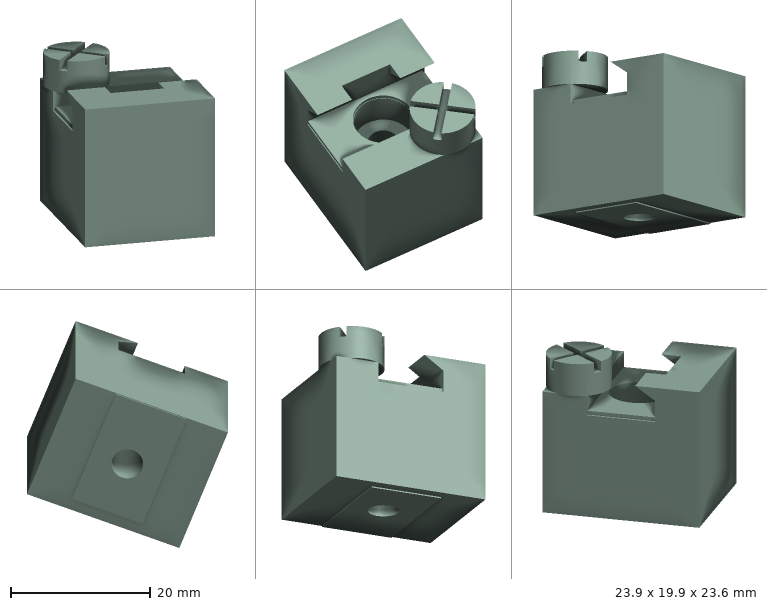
import cadquery as cq

block_length = 23.45
block_width = 19.4
block_height = 20.75
shelf_height = 18.47

channel_left = 6.63
channel_right = 16.81
channel_floor = 15.52
lip_tip = 13.85
lip_root_height = 18.78
notch_width = 8.0

channel_plate_thickness = 0.57
channel_plate_front = 0.34
plate_back = 19.28
base_plate_left = 6.32
base_plate_right = 17.22
base_plate_front = 1.7
base_plate_thickness = 0.2

bore_x = 11.75
bore_y = block_width / 2
bore_diameter = 4.55
counterbore_diameter = 8.62
plate_hole_diameter = 8.77
counterbore_depth = 4.8

head_diameter = 9.5
head_height = 4.89
head_x = 4.25
head_y = 4.2
slot_depth = 1.55
slot_angle = 51.0
narrow_slot_width = 0.98
wide_slot_width = 1.22


def box_between(x_range, y_range, z_range):
    """Box spanning the given (low, high) range along each axis."""
    ranges = (x_range, y_range, z_range)
    sizes = [high - low for low, high in ranges]
    corner = tuple(low for low, high in ranges)
    return cq.Workplane("XY").box(*sizes, centered=False).translate(corner)


def bore_cut(diameter, bottom, top):
    """Cylinder on the bore axis."""
    plane = cq.Workplane("XY", origin=(bore_x, bore_y, bottom))
    return plane.circle(diameter / 2).extrude(top - bottom)


def make_block():
    profile = [
        (0, 0),
        (block_length, 0),
        (block_length, block_height),
        (lip_tip, block_height),
        (channel_right, lip_root_height),
        (channel_right, channel_floor),
        (channel_left, channel_floor),
        (channel_left, shelf_height),
        (0, shelf_height),
    ]
    block = cq.Workplane("XZ").polyline(profile).close().extrude(-block_width)
    notch = box_between(
        (lip_tip, channel_right),
        (bore_y - notch_width / 2, bore_y + notch_width / 2),
        (channel_floor, block_height),
    )
    return block.cut(notch)


def make_screw_head():
    plane = cq.Workplane("XY", origin=(head_x, head_y, shelf_height))
    head = plane.circle(head_diameter / 2).extrude(head_height)
    floor_plane = plane.workplane(offset=head_height - slot_depth)
    slots = ((narrow_slot_width, slot_angle), (wide_slot_width, slot_angle + 90))
    for width, angle in slots:
        slot = floor_plane.transformed(rotate=(0, 0, angle)).rect(2 * head_diameter, width)
        head = head.cut(slot.extrude(slot_depth))
    return head


plate_top = channel_floor + channel_plate_thickness
channel_plate = box_between(
    (channel_left, channel_right),
    (channel_plate_front, plate_back),
    (channel_floor, plate_top),
)
base_plate = box_between(
    (base_plate_left, base_plate_right),
    (base_plate_front, plate_back),
    (-base_plate_thickness, 0),
)

body = make_block().union(channel_plate).union(base_plate)
body = body.cut(bore_cut(bore_diameter, -base_plate_thickness, plate_top))
body = body.cut(bore_cut(counterbore_diameter, channel_floor - counterbore_depth, plate_top))
body = body.cut(bore_cut(plate_hole_diameter, channel_floor, plate_top))

result = body.union(make_screw_head())